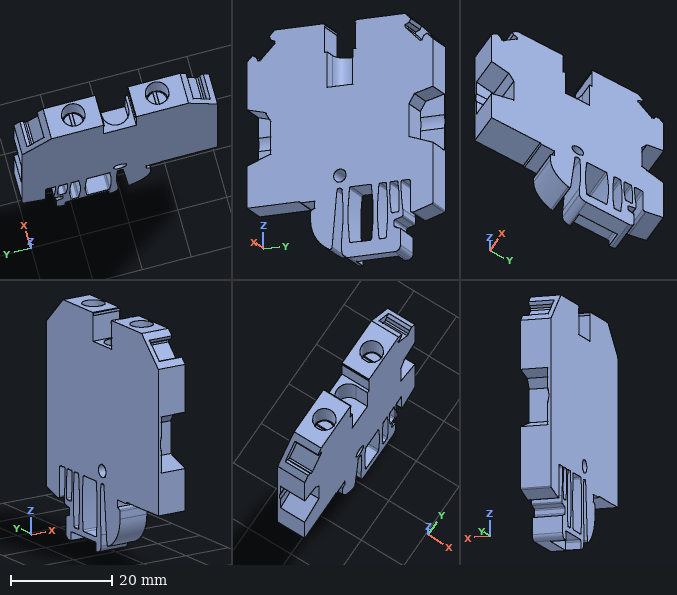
import cadquery as cq


THICKNESS = 6.4
LENGTH = 40.0
HEIGHT = 49.0
HALF_LENGTH = LENGTH / 2
SHOULDER_HALF_WIDTH = 14.0
SHOULDER_Z = 43.05
UNDERSIDE_Z = 12.85

NOTCH_HALF_WIDTH = 3.35
NOTCH_FLOOR_Z = SHOULDER_Z
NOTCH_BEAD_RADIUS = 0.3
NOTCH_BEAD_PROTRUSION = 0.15
NOTCH_BEAD_DROP = 0.45

BRIDGE_RADIUS = 2.75
BRIDGE_CENTRE_X = 3.75
BRIDGE_DEPTH = 7.35

SCREW_X = 3.65
SCREW_POSITIONS_Y = (-8.58, 8.58)
SCREW_RADIUS = 2.3
SCREW_TOP_Z = SHOULDER_Z
SCREW_LENGTH = 6.35
SCREW_CHAMFER = 0.3
DRIVER_SLOT_WIDTH = 0.65
DRIVER_SLOT_DEPTH = 0.75

MARKER_MIN_X = 1.05
MARKER_START = 1.75
MARKER_LENGTH = 4.9
MARKER_DEPTH = 2.0
MARKER_LEAD_IN_DEPTH = 0.8
MARKER_LEAD_IN_RUN = 0.25
MARKER_UNDERCUT = 0.35
MARKER_BEVEL = 0.3

ENTRY_MIN_X = 0.75
ENTRY_DEPTH = 5.15
ENTRY_MOUTH_TOP_Z = 33.15
ENTRY_BEND_DEPTH = 3.95
ENTRY_BEND_Z = 32.15
ENTRY_THROAT_TOP_Z = 30.2
ENTRY_THROAT_BOTTOM_Z = 23.4
ENTRY_MOUTH_BOTTOM_Z = 21.6
GROOVE_Z = 27.55
GROOVE_HALF_WIDTH = 1.35
GROOVE_MIN_X = 0.45

SLOT_TOP_Z = 14.55
LEG_INNER_Y = 15.15
LEG_OUTER_CORNER = (HALF_LENGTH, 8.95)
LEG_TIP = (LEG_INNER_Y, 7.5)
LEG_SLOT_CORNER = (LEG_INNER_Y, SLOT_TOP_Z)

LATCH_Y = 13.05
LATCH_NOTCH_Y = 11.65
LATCH_ROOT = (13.2, SLOT_TOP_Z)
LATCH_SIDE_MIDDLE = (13.25, 11.55)
LATCH_SIDE_END = (13.5, 8.58)
LATCH_NOSE = (13.5, 7.1)
LATCH_NOTCH_TOP = (LATCH_NOTCH_Y, 6.55)
LATCH_NOTCH_BOTTOM = (LATCH_NOTCH_Y, 5.2)
LATCH_STEP = (LATCH_Y, 4.65)
LATCH_FOOT_CORNER = (LATCH_Y, 0)

SPRING_Y = 0.4
SPRING_FOOT_CORNER = (SPRING_Y, 0)
SPRING_SIDE_START = (SPRING_Y, 3.85)
SPRING_SIDE_MIDDLE = (0.7, 9.05)
SPRING_SIDE_END = (0.5, 14.1)
SPRING_SLOT_TOP = (-0.1, SLOT_TOP_Z)

HOOK_Y = -6.3
HOOK_NECK_Y = -5.4
HOOK_NECK_TOP_Z = 12.55
HOOK_SLOT_TOP = (-0.65, 14.1)
HOOK_TIP = (-1.7, 1.95)
HOOK_BACK_MIDDLE = (-4.85, 4.3)
HOOK_BACK_END = (HOOK_Y, 8.8)
HOOK_BARB = (HOOK_Y, 10.65)
HOOK_NECK_BOTTOM = (HOOK_NECK_Y, 11.05)
HOOK_NECK_TOP = (HOOK_NECK_Y, HOOK_NECK_TOP_Z)
RAIL_SEAT_END = (-8.45, HOOK_NECK_TOP_Z)
RAIL_SEAT_STEP = (-8.7, UNDERSIDE_Z)

SMALL_CORNER = 0.3
SLOT_CORNER = 0.4
LEG_TIP_CORNER = 0.5
HOOK_TIP_CORNER = 0.45
LATCH_FOOT_RADIUS = 1.22
SPRING_FOOT_RADIUS = 1.55

LATCH_SLOT_TOP_MAX = (12.45, SLOT_TOP_Z)
LATCH_SLOT_BOTTOM_Z = 8.15
LATCH_SLOT_MAX_SIDE_MIDDLE = (12.75, 10.8)
LATCH_SLOT_BOTTOM_MAX = (12.65, LATCH_SLOT_BOTTOM_Z)
LATCH_SLOT_BOTTOM_MIN = (11.05, LATCH_SLOT_BOTTOM_Z)
LATCH_SLOT_MIN_SIDE_MIDDLE = (10.75, 11.5)
LATCH_SLOT_TOP_MIN = (10.8, SLOT_TOP_Z)
FOOT_SLOT_BOTTOM_Z = 3.05
FOOT_SLOT_BOW = 0.35
FOOT_SLOT_CORNER = 0.35
FOOT_SLOT_Y_RANGES = ((8.45, 9.95), (2.1, 6.75))
FOOT_RECESS_DEPTH = THICKNESS / 2
FOOT_RECESS_MIN_Y = 2.25
FOOT_RECESS_MAX_Y = 11.15
FOOT_RECESS_HEIGHT = 1.9

CROSS_HOLE_Z = 17.15
CROSS_HOLE_RADIUS = 1.3


def side_profile():
    """Workplane for outlines in the Y-Z plane, extruded along +X."""
    return cq.Workplane("YZ")


def both_ends(shape):
    """The shape together with its mirror image about the middle plane Y = 0."""
    return [shape, shape.mirror("XZ")]


def housing_plate():
    """Full-thickness plate with the rail foot and hook."""
    plate = (
        side_profile()
        .moveTo(-HALF_LENGTH, UNDERSIDE_Z)
        .lineTo(-HALF_LENGTH, SHOULDER_Z)
        .lineTo(-SHOULDER_HALF_WIDTH, HEIGHT)
        .lineTo(-NOTCH_HALF_WIDTH, HEIGHT)
        .lineTo(-NOTCH_HALF_WIDTH, NOTCH_FLOOR_Z)
        .lineTo(NOTCH_HALF_WIDTH, NOTCH_FLOOR_Z)
        .lineTo(NOTCH_HALF_WIDTH, HEIGHT)
        .lineTo(SHOULDER_HALF_WIDTH, HEIGHT)
        .lineTo(HALF_LENGTH, SHOULDER_Z)
        .lineTo(*LEG_OUTER_CORNER)
        .lineTo(*LEG_TIP)
        .lineTo(*LEG_SLOT_CORNER)
        .lineTo(*LATCH_ROOT)
        .threePointArc(LATCH_SIDE_MIDDLE, LATCH_SIDE_END)
        .lineTo(*LATCH_NOSE)
        .lineTo(*LATCH_NOTCH_TOP)
        .lineTo(*LATCH_NOTCH_BOTTOM)
        .lineTo(*LATCH_STEP)
        .lineTo(*LATCH_FOOT_CORNER)
        .lineTo(*SPRING_FOOT_CORNER)
        .lineTo(*SPRING_SIDE_START)
        .threePointArc(SPRING_SIDE_MIDDLE, SPRING_SIDE_END)
        .threePointArc(SPRING_SLOT_TOP, HOOK_SLOT_TOP)
        .lineTo(*HOOK_TIP)
        .threePointArc(HOOK_BACK_MIDDLE, HOOK_BACK_END)
        .lineTo(*HOOK_BARB)
        .lineTo(*HOOK_NECK_BOTTOM)
        .lineTo(*HOOK_NECK_TOP)
        .lineTo(*RAIL_SEAT_END)
        .lineTo(*RAIL_SEAT_STEP)
        .close()
        .extrude(THICKNESS)
    )
    rounded_corners = (
        (LEG_OUTER_CORNER, SMALL_CORNER),
        (LEG_TIP, LEG_TIP_CORNER),
        (LEG_SLOT_CORNER, SLOT_CORNER),
        (LATCH_ROOT, SMALL_CORNER),
        (LATCH_NOSE, SMALL_CORNER),
        (LATCH_NOTCH_TOP, SMALL_CORNER),
        (LATCH_NOTCH_BOTTOM, SMALL_CORNER),
        (LATCH_FOOT_CORNER, LATCH_FOOT_RADIUS),
        (SPRING_FOOT_CORNER, SPRING_FOOT_RADIUS),
        (HOOK_TIP, HOOK_TIP_CORNER),
        (HOOK_BARB, SMALL_CORNER),
    )
    for (y, z), radius in rounded_corners:
        corner = cq.selectors.NearestToPointSelector((THICKNESS / 2, y, z))
        plate = plate.edges("|X").edges(corner).fillet(radius)
    return plate


def bowed_slot(min_y, max_y):
    """Slot through the foot whose two long sides bow outwards."""
    middle_z = (SLOT_TOP_Z + FOOT_SLOT_BOTTOM_Z) / 2
    return (
        side_profile()
        .moveTo(max_y, SLOT_TOP_Z)
        .threePointArc((max_y + FOOT_SLOT_BOW, middle_z), (max_y, FOOT_SLOT_BOTTOM_Z))
        .lineTo(min_y, FOOT_SLOT_BOTTOM_Z)
        .threePointArc((min_y - FOOT_SLOT_BOW, middle_z), (min_y, SLOT_TOP_Z))
        .close()
        .extrude(THICKNESS)
        .edges("|X")
        .fillet(FOOT_SLOT_CORNER)
    )


def latch_slot():
    """Short leaning slot behind the latch nose."""
    return (
        side_profile()
        .moveTo(*LATCH_SLOT_TOP_MAX)
        .threePointArc(LATCH_SLOT_MAX_SIDE_MIDDLE, LATCH_SLOT_BOTTOM_MAX)
        .lineTo(*LATCH_SLOT_BOTTOM_MIN)
        .threePointArc(LATCH_SLOT_MIN_SIDE_MIDDLE, LATCH_SLOT_TOP_MIN)
        .close()
        .extrude(THICKNESS)
        .edges("|X")
        .fillet(SMALL_CORNER)
    )


def foot_recess():
    """Blind recess in the closed face, open at the bottom of the foot."""
    return (
        side_profile()
        .moveTo(FOOT_RECESS_MIN_Y, 0)
        .lineTo(FOOT_RECESS_MIN_Y, FOOT_RECESS_HEIGHT)
        .lineTo(FOOT_RECESS_MAX_Y, FOOT_RECESS_HEIGHT)
        .lineTo(FOOT_RECESS_MAX_Y, 0)
        .close()
        .extrude(FOOT_RECESS_DEPTH)
        .edges("|X and >Z")
        .fillet(SLOT_CORNER)
    )


def cross_hole():
    return side_profile().center(0, CROSS_HOLE_Z).circle(CROSS_HOLE_RADIUS).extrude(THICKNESS)


def shoulder_plane():
    """Plane across the -Y shoulder: local x runs down the slope, local y points outwards."""
    run = HALF_LENGTH - SHOULDER_HALF_WIDTH
    drop = HEIGHT - SHOULDER_Z
    return cq.Plane(
        origin=(MARKER_MIN_X, -SHOULDER_HALF_WIDTH, HEIGHT),
        xDir=(0, -run, -drop),
        normal=(-1, 0, 0),
    )


def marker_recess():
    """Recess in the -Y shoulder, open towards +X.

    It has lead-in edges, undercut walls and bevelled floor corners.
    """
    width = THICKNESS - MARKER_MIN_X
    end = MARKER_START + MARKER_LENGTH
    lip_start = MARKER_START + MARKER_LEAD_IN_RUN
    lip_end = end - MARKER_LEAD_IN_RUN
    wall_start = lip_start - MARKER_UNDERCUT
    wall_end = lip_end + MARKER_UNDERCUT
    bevel_height = MARKER_BEVEL - MARKER_DEPTH
    return (
        cq.Workplane(shoulder_plane())
        .moveTo(MARKER_START, 0)
        .lineTo(lip_start, -MARKER_LEAD_IN_DEPTH)
        .lineTo(wall_start, bevel_height)
        .lineTo(wall_start + MARKER_BEVEL, -MARKER_DEPTH)
        .lineTo(wall_end - MARKER_BEVEL, -MARKER_DEPTH)
        .lineTo(wall_end, bevel_height)
        .lineTo(lip_end, -MARKER_LEAD_IN_DEPTH)
        .lineTo(end, 0)
        .close()
        .extrude(-width)
    )


def wire_entry():
    """Funnel in the -Y end, open towards +X, with a shallow groove in its side wall."""
    back_y = ENTRY_DEPTH - HALF_LENGTH
    funnel = (
        side_profile()
        .workplane(offset=ENTRY_MIN_X)
        .moveTo(-HALF_LENGTH, ENTRY_MOUTH_TOP_Z)
        .lineTo(ENTRY_BEND_DEPTH - HALF_LENGTH, ENTRY_BEND_Z)
        .lineTo(back_y, ENTRY_THROAT_TOP_Z)
        .lineTo(back_y, ENTRY_THROAT_BOTTOM_Z)
        .lineTo(-HALF_LENGTH, ENTRY_MOUTH_BOTTOM_Z)
        .close()
        .extrude(THICKNESS - ENTRY_MIN_X)
    )
    groove = (
        cq.Workplane("XZ", origin=(0, -HALF_LENGTH, 0))
        .moveTo(ENTRY_MIN_X, GROOVE_Z - GROOVE_HALF_WIDTH)
        .threePointArc((GROOVE_MIN_X, GROOVE_Z), (ENTRY_MIN_X, GROOVE_Z + GROOVE_HALF_WIDTH))
        .close()
        .extrude(-ENTRY_DEPTH)
    )
    return funnel.union(groove)


def bridge_pocket():
    """Pocket in the notch floor with a half-round end, open towards +X."""
    return (
        cq.Workplane("XY", origin=(0, 0, NOTCH_FLOOR_Z))
        .moveTo(THICKNESS, BRIDGE_RADIUS)
        .lineTo(BRIDGE_CENTRE_X, BRIDGE_RADIUS)
        .threePointArc((BRIDGE_CENTRE_X - BRIDGE_RADIUS, 0), (BRIDGE_CENTRE_X, -BRIDGE_RADIUS))
        .lineTo(THICKNESS, -BRIDGE_RADIUS)
        .close()
        .extrude(-BRIDGE_DEPTH)
    )


def screw_hole(y):
    bottom_z = SCREW_TOP_Z - SCREW_LENGTH
    return (
        cq.Workplane("XY", origin=(SCREW_X, y, bottom_z))
        .circle(SCREW_RADIUS)
        .extrude(HEIGHT - bottom_z)
    )


def notch_bead():
    """Rounded snap bead along the upper edge of the -Y notch wall."""
    y = NOTCH_BEAD_PROTRUSION - NOTCH_HALF_WIDTH - NOTCH_BEAD_RADIUS
    z = HEIGHT - NOTCH_BEAD_DROP
    return side_profile().center(y, z).circle(NOTCH_BEAD_RADIUS).extrude(THICKNESS)


def make_housing():
    body = housing_plate()
    cutters = [
        latch_slot(),
        *[bowed_slot(min_y, max_y) for min_y, max_y in FOOT_SLOT_Y_RANGES],
        foot_recess(),
        cross_hole(),
        bridge_pocket(),
        *both_ends(marker_recess()),
        *both_ends(wire_entry()),
        *[screw_hole(y) for y in SCREW_POSITIONS_Y],
    ]
    for cutter in cutters:
        body = body.cut(cutter)
    for bead in both_ends(notch_bead()):
        body = body.union(bead)
    return body


def make_screw(y):
    """Headless screw with a bevelled rim and a driver slot along X."""
    slot = (
        cq.Workplane("XY", origin=(SCREW_X, y, SCREW_TOP_Z))
        .rect(2 * SCREW_RADIUS, DRIVER_SLOT_WIDTH)
        .extrude(-DRIVER_SLOT_DEPTH)
    )
    return (
        cq.Workplane("XY", origin=(SCREW_X, y, SCREW_TOP_Z - SCREW_LENGTH))
        .circle(SCREW_RADIUS)
        .extrude(SCREW_LENGTH)
        .faces(">Z")
        .chamfer(SCREW_CHAMFER)
        .cut(slot)
    )


housing = make_housing()
screws = [make_screw(y) for y in SCREW_POSITIONS_Y]

result = cq.Compound.makeCompound([housing.val(), *[screw.val() for screw in screws]])